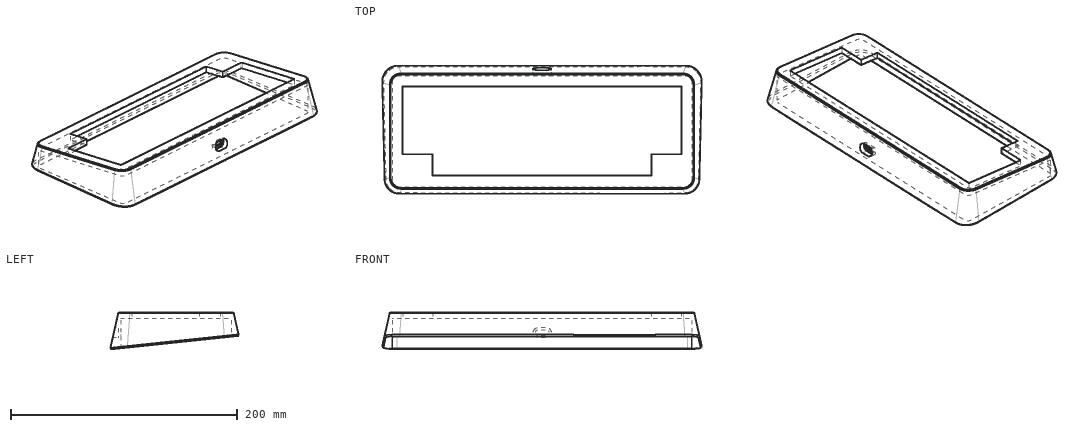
import cadquery as cq
import math

top_length = 268.46
top_width = 101.6
top_corner_radius = 10.0
corner_growth = 0.15
wall_draft = math.tan(math.radians(12.7))
base_tilt = 6.0
middle_height = 26.94
blank_height = 40.0
top_chamfer = 0.9
base_chamfer = 1.5

plate_thickness = 5.5
cavity_inset = 2.0
cavity_corner_radius = 4.0

window_length = 246.0
window_back_y = 39.2
window_step_y = -20.3
window_front_y = -39.0
window_front_length = 193.0
window_step_radius = 0.8

slot_centre_spacing = 7.6
slot_height = 4.5
recess_rim = 2.0
recess_floor_thickness = 2.0
slot_depth_below_top = 17.9

cavity_length = top_length - 2 * cavity_inset
cavity_width = top_width - 2 * cavity_inset
cavity_back_y = cavity_width / 2
slot_cut_length = top_width


def rounded_section(depth, inset=0):
    """Outline of the shell at a depth below the top face, drawn in by an inset."""
    spread = 2 * (wall_draft * depth - inset)
    radius = top_corner_radius + corner_growth * depth - inset
    outline = cq.Sketch().rect(top_length + spread, top_width + spread).vertices().fillet(radius)
    return outline.moved(cq.Location(cq.Vector(0, 0, -depth)))


def shell_blank():
    """Solid drafted body with a tilted base and chamfered top and bottom rims."""
    sections = [
        rounded_section(blank_height),
        rounded_section(top_chamfer),
        rounded_section(0, inset=top_chamfer),
    ]
    body = cq.Workplane("XY").placeSketch(*sections).loft(ruled=True)
    below_base = (
        cq.Workplane("XY")
        .rect(2 * top_length, 2 * top_length)
        .extrude(-2 * blank_height)
        .rotate((0, 0, 0), (1, 0, 0), -base_tilt)
        .translate((0, 0, -middle_height))
    )
    return body.cut(below_base).faces("<Z").edges().chamfer(base_chamfer)


def cavity():
    """Straight-walled space below the top plate, open through the base."""
    return (
        cq.Workplane("XY")
        .workplane(offset=-plate_thickness)
        .rect(cavity_length, cavity_width)
        .extrude(-blank_height)
        .edges("|Z")
        .fillet(cavity_corner_radius)
    )


def window():
    """Stepped opening through the top plate."""
    back_width = window_back_y - window_step_y
    front_width = window_back_y - window_front_y
    back_part = (
        cq.Workplane("XY")
        .center(0, window_back_y - back_width / 2)
        .rect(window_length, back_width)
        .extrude(-plate_thickness)
        .edges("|Z and <Y")
        .fillet(window_step_radius)
    )
    front_part = (
        cq.Workplane("XY")
        .center(0, window_back_y - front_width / 2)
        .rect(window_front_length, front_width)
        .extrude(-plate_thickness)
    )
    return back_part.union(front_part)


def back_wall_slot(height, start_y):
    """Round-ended slot running in +Y from start_y."""
    return (
        cq.Workplane("XZ", origin=(0, start_y, -slot_depth_below_top))
        .slot2D(slot_centre_spacing + height, height)
        .extrude(-slot_cut_length)
    )


slot = back_wall_slot(slot_height, 0)
recess = back_wall_slot(slot_height + 2 * recess_rim, cavity_back_y + recess_floor_thickness)

result = shell_blank().cut(cavity()).cut(window()).cut(slot).cut(recess)